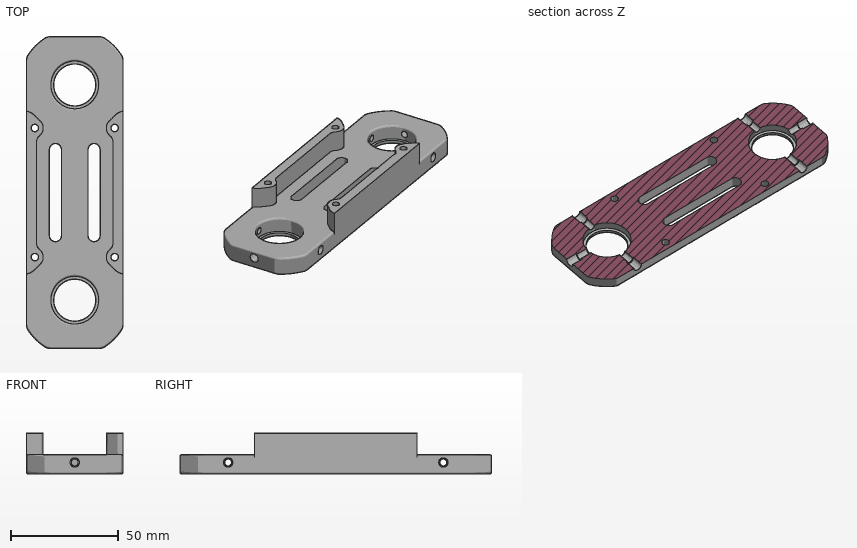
import cadquery as cq
import math

length = 145.0
width = 45.0
plate_height = 9.0
total_height = 19.0
edge_fillet = 1.0
bore_y = length / 2 - width / 2
corner_radius = 25.8
corner_blend = 5.0

bore_diameter = 22.2
opening_diameter = 19.5
lip_height = 2.0

screw_z = 5.4
screw_diameter = 3.2
screw_entry_diameter = 4.4
screw_entry_depth = 5.8

slot_x = 9.0
slot_width = 5.5
slot_spacing = 40.0

post_x = 19.1
post_y = 30.0
post_radius = 4.5
post_hole_x = 18.5
post_hole_diameter = 3.3
rail_inner_x = 17.7
rail_end_run = 3.9
rail_end_blend = 7.5
rail_foot_blend = 3.0

half_width = width / 2
ends = (-1, 1)


def make_plate():
    """Plate whose corners follow arcs centred on the bores, blended into the flat sides."""
    blank = cq.Workplane("XY").rect(width, length).extrude(plate_height)
    rounded = cq.Workplane("XY").rect(width, 2 * bore_y).extrude(plate_height)
    for end in ends:
        disc = cq.Workplane("XY").center(0, end * bore_y).circle(corner_radius).extrude(plate_height)
        rounded = rounded.union(disc)
    plate = blank.intersect(rounded)
    plate = plate.edges("|Z").fillet(corner_blend)
    return plate.faces("<Z or >Z").edges().fillet(edge_fillet)


def make_rail():
    """Rail on the +X side, swelling into a round post with 45 degree flanks near each end."""
    diagonal = math.sqrt(0.5)

    flank_x = half_width - rail_end_run
    flank_y = post_y + post_radius / diagonal + (flank_x - post_x)
    end_x = flank_x + rail_end_blend * diagonal
    end_y = flank_y - rail_end_blend * diagonal
    side_y = end_y + math.sqrt(rail_end_blend**2 - (half_width - end_x) ** 2)
    end_angle = (math.atan2(side_y - end_y, half_width - end_x) + math.radians(135)) / 2
    end_mid = (
        end_x + rail_end_blend * math.cos(end_angle),
        end_y + rail_end_blend * math.sin(end_angle),
    )

    post_offset = post_radius * diagonal
    post_inner_x = post_x - post_offset

    foot_x = rail_inner_x - rail_foot_blend
    foot_flank_x = foot_x + rail_foot_blend * diagonal
    foot_flank_y = post_y - post_offset - (foot_flank_x - post_inner_x)
    foot_y = foot_flank_y - rail_foot_blend * diagonal
    foot_angle = math.radians(45) / 2
    foot_mid = (
        foot_x + rail_foot_blend * math.cos(foot_angle),
        foot_y + rail_foot_blend * math.sin(foot_angle),
    )

    half_rail = (
        cq.Workplane("XY")
        .moveTo(half_width, 0)
        .lineTo(half_width, side_y)
        .threePointArc(end_mid, (flank_x, flank_y))
        .lineTo(post_inner_x, post_y + post_offset)
        .threePointArc((post_x - post_radius, post_y), (post_inner_x, post_y - post_offset))
        .lineTo(foot_flank_x, foot_flank_y)
        .threePointArc(foot_mid, (rail_inner_x, foot_y))
        .lineTo(rail_inner_x, 0)
        .close()
        .extrude(total_height)
    )
    rail = half_rail.union(half_rail.mirror("XZ"))
    return rail.faces("<Z").edges(">X").fillet(edge_fillet)


def make_bore():
    """Cutter for one bore at the origin: a wide bore above a lip, flared at both faces of the plate."""
    opening_radius = opening_diameter / 2
    bore_radius = bore_diameter / 2
    flare_mid = edge_fillet * (1 - math.sqrt(0.5))
    return (
        cq.Workplane("XZ")
        .lineTo(opening_radius + edge_fillet, 0)
        .threePointArc((opening_radius + flare_mid, flare_mid), (opening_radius, edge_fillet))
        .lineTo(opening_radius, lip_height)
        .lineTo(bore_radius, lip_height)
        .lineTo(bore_radius, plate_height - edge_fillet)
        .threePointArc(
            (bore_radius + flare_mid, plate_height - flare_mid),
            (bore_radius + edge_fillet, plate_height),
        )
        .lineTo(0, plate_height)
        .close()
        .revolve(360, (0, 0, 0), (0, 1, 0))
    )


def make_screw_hole():
    """Cutter for one screw hole, running along -Y from a plate face into a bore on the Z axis."""
    face = cq.Workplane("XZ", origin=(0, half_width, screw_z))
    hole = face.circle(screw_diameter / 2).extrude(half_width)
    entry = face.circle(screw_entry_diameter / 2).extrude(screw_entry_depth)
    return hole.union(entry)


right_rail = make_rail()
result = make_plate().union(right_rail).union(right_rail.mirror("YZ"))

screw_hole = make_screw_hole()
for end in ends:
    result = result.cut(make_bore().translate((0, end * bore_y, 0)))
    for angle in (90, -90, 90 - end * 90):
        turned_hole = screw_hole.rotate((0, 0, 0), (0, 0, 1), angle)
        result = result.cut(turned_hole.translate((0, end * bore_y, 0)))

slots = (
    cq.Workplane("XY")
    .pushPoints([(-slot_x, 0), (slot_x, 0)])
    .slot2D(slot_spacing + slot_width, slot_width, 90)
    .extrude(plate_height)
)
result = result.cut(slots)

post_holes = (
    cq.Workplane("XY")
    .rect(2 * post_hole_x, 2 * post_y, forConstruction=True)
    .vertices()
    .circle(post_hole_diameter / 2)
    .extrude(total_height)
)
result = result.cut(post_holes)